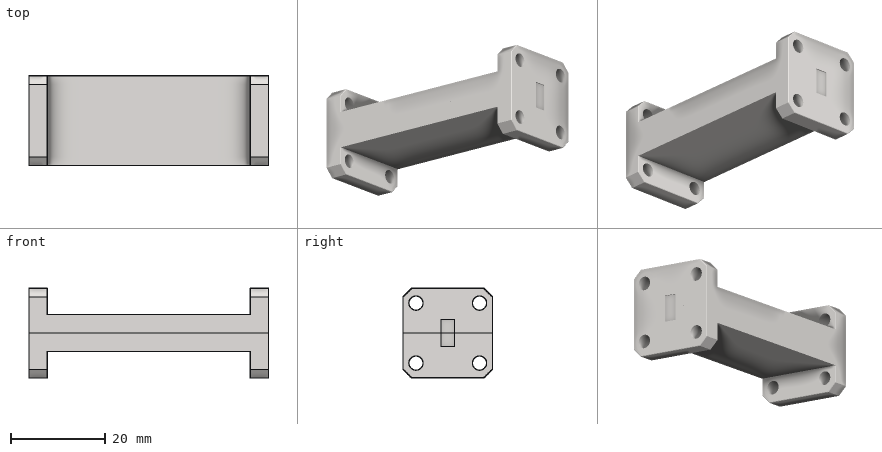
import cadquery as cq

length = 50.8
flange_side = 19.05
flange_thickness = 4.0
corner_chamfer = 1.85
edge_break = 0.1
web_height = 7.9

bolt_hole_diameter = 2.95
bolt_spacing_y = 13.46
bolt_spacing_z = 12.7

window_width = 2.845
window_height = 5.69
window_depth = 0.25

half_side = flange_side / 2
flange_centre_x = (length - flange_thickness) / 2

web_length = length - 2 * (flange_thickness - edge_break)


def flange(centre_x):
    """Square plate with chamfered corners, bevelled rims and its four bolt holes."""
    plate = (
        cq.Workplane("YZ")
        .box(flange_side, flange_side, flange_thickness)
        .edges("|X")
        .chamfer(corner_chamfer)
        .faces("|X")
        .chamfer(edge_break)
        .faces(">X")
        .workplane(origin=(0, 0, 0))
        .rarray(bolt_spacing_y, bolt_spacing_z, 2, 2)
        .hole(bolt_hole_diameter)
    )
    return plate.translate((centre_x, 0, 0))


def window(face_x):
    """Cutter for the window on the end face at face_x."""
    cutter = cq.Workplane("XY").box(2 * window_depth, window_width, window_height)
    return cutter.translate((face_x, 0, 0))


def full_section():
    """The whole waveguide section, before it is split into halves."""
    section = cq.Workplane("XY").box(web_length, flange_side, web_height)
    for side in (-1, 1):
        section = section.union(flange(side * flange_centre_x))
    for side in (-1, 1):
        section = section.cut(window(side * length / 2))
    return section


def half_block(side):
    """Half of the section above (side = 1) or below (side = -1) the joint plane Z = 0."""
    half_space = cq.Workplane("XY").box(length, flange_side, half_side)
    half_space = half_space.translate((0, 0, side * half_side / 2))
    return full_section().intersect(half_space)


upper_half = half_block(1)
lower_half = half_block(-1)

result = cq.Compound.makeCompound([upper_half.val(), lower_half.val()])